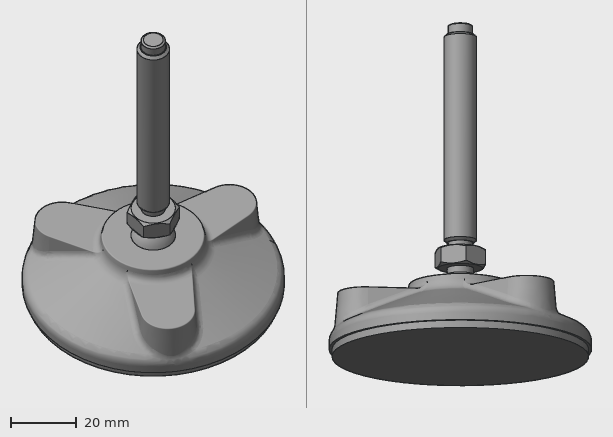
import cadquery as cq
import math

overall_height = 103.8

rim_radius = 39.1
flange_radius = 40.01
flange_bottom = 2.3
flange_top = 4.7
shoulder_radius = 3.6
cone_angle = 25.0

hub_top = 22.4
hub_top_radius = 15.7
hub_draft = 10.0
hub_edge_round = 0.4
hub_root_top = 20.5

wing_count = 3
first_wing_angle = 90.0
wing_top = 18.5
wing_bottom = 3.1
wing_tip_radius = 8.3
wing_tip_center = 29.8
wing_flare = 6.0
wing_draft = 5.0
wing_inner_end = 8.3
wing_edge_round = 0.3
wing_root_radius = 2.5

ball_radius = 7.5
ball_center_height = 19.3
neck_radius = 4.0
hex_bottom = 27.6
hex_top = 33.6
hex_sides = 6
hex_across_flats = 14.0
hex_face_radius = 6.7
hex_chamfer_angle = 30.0

shank_radius = 5.0
shank_bottom = 35.6
shank_top = 100.8
shank_end_radius = 4.0
shank_chamfer_height = 0.8
pin_radius = 3.7
pin_end_radius = 3.0
pin_chamfer_height = 0.4

tolerance = 0.01


def tan_deg(angle):
    return math.tan(math.radians(angle))


def sin_deg(angle):
    return math.sin(math.radians(angle))


def cos_deg(angle):
    return math.cos(math.radians(angle))


def turned(profile):
    """Revolve a closed half profile, drawn as radius and height, about Z."""
    return profile.close().revolve(360, (0, 0, 0), (0, 1, 0))


def hub_radius_at(height):
    """Radius of the drafted hub wall at a height."""
    return hub_top_radius + (hub_top - height) * tan_deg(hub_draft)


def hub_root_arc(profile, corner_radius, corner_height, slope):
    """Add a fillet arc from a surface falling outward at `slope` to the hub wall.

    The corner is where the surface and the wall would meet; the arc ends at `hub_root_top`.
    """
    turn = 90 - hub_draft - slope
    reach = (hub_root_top - corner_height) / cos_deg(hub_draft)
    fillet_radius = reach / tan_deg(turn / 2)
    start = (corner_radius + reach * cos_deg(slope), corner_height - reach * sin_deg(slope))
    end = (hub_radius_at(hub_root_top), hub_root_top)
    bisector = (90 - slope + hub_draft) / 2
    offset = fillet_radius / cos_deg(turn / 2) - fillet_radius
    middle = (corner_radius + offset * cos_deg(bisector), corner_height + offset * sin_deg(bisector))
    return profile.lineTo(*start).threePointArc(middle, end)


def make_dome():
    """Rim, rounded flange, cone and hub as one turned body."""
    arc_center_radius = flange_radius - shoulder_radius
    arc_end_angle = 90 - cone_angle
    arc_middle_angle = arc_end_angle / 2
    cone_start_radius = arc_center_radius + shoulder_radius * cos_deg(arc_end_angle)
    cone_start_height = flange_top + shoulder_radius * sin_deg(arc_end_angle)

    cone_apex = cone_start_height + cone_start_radius * tan_deg(cone_angle)
    corner_radius = hub_radius_at(cone_apex) / (1 - tan_deg(cone_angle) * tan_deg(hub_draft))
    corner_height = cone_apex - corner_radius * tan_deg(cone_angle)

    profile = (
        cq.Workplane("XZ")
        .lineTo(rim_radius, 0)
        .lineTo(rim_radius, flange_bottom)
        .lineTo(flange_radius, flange_bottom)
        .lineTo(flange_radius, flange_top)
        .threePointArc(
            (
                arc_center_radius + shoulder_radius * cos_deg(arc_middle_angle),
                flange_top + shoulder_radius * sin_deg(arc_middle_angle),
            ),
            (cone_start_radius, cone_start_height),
        )
    )
    profile = hub_root_arc(profile, corner_radius, corner_height, cone_angle)
    dome = turned(profile.lineTo(hub_top_radius, hub_top).lineTo(0, hub_top))
    return dome.faces(">Z").edges().fillet(hub_edge_round)


def is_level_arc_about_axis(edge):
    """True for a circle edge centered on the Z axis."""
    if edge.geomType() != "CIRCLE":
        return False
    center = edge.arcCenter()
    return math.hypot(center.x, center.y) < tolerance


def make_wing():
    """Wing along +X: drafted outline with a flat top that sweeps up into the hub wall."""
    tip_radius = wing_tip_radius + (wing_top - wing_bottom) * tan_deg(wing_draft)
    side_x = wing_tip_center + tip_radius * sin_deg(wing_flare)
    side_y = tip_radius * cos_deg(wing_flare)
    inner_y = side_y + (side_x - wing_inner_end) * tan_deg(wing_flare)
    outline = (
        cq.Workplane("XY", origin=(0, 0, wing_bottom))
        .moveTo(wing_inner_end, -inner_y)
        .lineTo(side_x, -side_y)
        .threePointArc((wing_tip_center + tip_radius, 0), (side_x, side_y))
        .lineTo(wing_inner_end, inner_y)
        .close()
        .extrude(hub_top - wing_bottom, taper=wing_draft)
    )
    limit = cq.Workplane("XZ").lineTo(flange_radius, 0).lineTo(flange_radius, wing_top)
    limit = hub_root_arc(limit, hub_radius_at(wing_top), wing_top, 0)
    limit = turned(limit.lineTo(0, hub_root_top))
    wing = outline.intersect(limit)
    flat_rim = [
        edge
        for edge in wing.edges().vals()
        if abs(edge.startPoint().z - wing_top) < tolerance
        and abs(edge.endPoint().z - wing_top) < tolerance
        and not is_level_arc_about_axis(edge)
    ]
    return wing.newObject(flat_rim).fillet(wing_edge_round)


def touches(shape, point):
    """True if the point lies on or inside the shape."""
    return shape.val().distance(cq.Vertex.makeVertex(*point.toTuple())) < tolerance


def make_foot():
    """Dome with the wings joined on one by one, each wall blended into the dome."""
    dome = make_dome()
    foot = dome
    for i in range(wing_count):
        angle = first_wing_angle + i * 360 / wing_count
        wing = make_wing().rotate((0, 0, 0), (0, 0, 1), angle)
        foot = foot.union(wing)
        wall_roots = [
            edge
            for edge in foot.edges().vals()
            if edge.geomType() not in ("LINE", "CIRCLE")
            and touches(dome, edge.positionAt(0.5))
            and touches(wing, edge.positionAt(0.5))
        ]
        foot = foot.newObject(wall_roots).fillet(wing_root_radius)
    return foot


def make_hex():
    """Hexagon with corners on the X axis, its corners chamfered at both ends."""
    hex_height = hex_top - hex_bottom
    corner_radius = hex_across_flats / 2 / cos_deg(180 / hex_sides)
    corner_drop = (corner_radius - hex_face_radius) * tan_deg(hex_chamfer_angle)
    prism = (
        cq.Workplane("XY", origin=(0, 0, hex_bottom))
        .polygon(hex_sides, 2 * corner_radius)
        .extrude(hex_height)
    )
    limit = turned(
        cq.Workplane("XZ")
        .moveTo(0, hex_bottom)
        .lineTo(hex_face_radius, hex_bottom)
        .lineTo(corner_radius, hex_bottom + corner_drop)
        .lineTo(corner_radius, hex_top - corner_drop)
        .lineTo(hex_face_radius, hex_top)
        .lineTo(0, hex_top)
    )
    return prism.intersect(limit)


def make_stud():
    """Ball dome, necks, chamfered shank and end pin as one turned body."""
    neck_bottom = ball_center_height + math.sqrt(ball_radius**2 - neck_radius**2)
    middle_angle = math.degrees(math.acos(neck_radius / ball_radius)) / 2
    return turned(
        cq.Workplane("XZ")
        .moveTo(0, ball_center_height)
        .lineTo(ball_radius, ball_center_height)
        .threePointArc(
            (ball_radius * cos_deg(middle_angle), ball_center_height + ball_radius * sin_deg(middle_angle)),
            (neck_radius, neck_bottom),
        )
        .lineTo(neck_radius, hex_bottom)
        .lineTo(pin_radius, hex_bottom)
        .lineTo(pin_radius, shank_bottom)
        .lineTo(shank_end_radius, shank_bottom)
        .lineTo(shank_radius, shank_bottom + shank_chamfer_height)
        .lineTo(shank_radius, shank_top - shank_chamfer_height)
        .lineTo(shank_end_radius, shank_top)
        .lineTo(pin_radius, shank_top)
        .lineTo(pin_radius, overall_height - pin_chamfer_height)
        .lineTo(pin_end_radius, overall_height)
        .lineTo(0, overall_height)
    )


result = make_foot().union(make_stud()).union(make_hex())